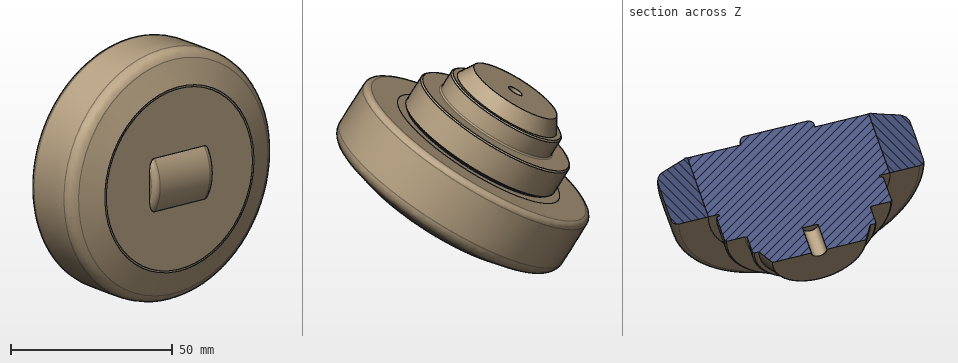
import cadquery as cq
import math


tip_length = 5.0
tip_base_radius = 18.0
tip_slope = 30.0
spigot_diameter = 40.0
flange_start = 11.6
flange_diameter = 54.1
flange_end = 21.5
edge_break = 0.5
neck_diameter = 52.0
center_hole_diameter = 4.9
center_hole_depth = 9.8

wheel_start = 22.0
wheel_end = 45.2
wheel_radius = 40.9
hub_diameter = 58.8
crown_position = 31.25
crown_arc_radius = 327.2
cone_end_radius = 30.0
cone_slope = 20.0
front_fillet = 2.0
shoulder_fillet = 4.2

roller_radius = 15.0
roller_width = 24.0
roller_fillet = 2.0
overall_length = 48.0


def crown_radius_at(x):
    """Radius of the crowned rim at position x."""
    offset = x - crown_position
    return wheel_radius - crown_arc_radius + math.sqrt(crown_arc_radius**2 - offset**2)


def revolve_about_x(profile):
    return profile.close().revolve(360, (0, 0, 0), (1, 0, 0))


def make_roller():
    axis_x = overall_length - roller_radius
    return (
        cq.Workplane("XZ")
        .center(axis_x, 0)
        .circle(roller_radius)
        .extrude(roller_width / 2, both=True)
        .edges()
        .fillet(roller_fillet)
    )


def make_pin():
    """Conical tip, spigot, flange, neck and hub, with the roller on the hub end."""
    tip_radius = tip_base_radius - tip_length * math.tan(math.radians(tip_slope))

    tip = revolve_about_x(
        cq.Workplane("XY")
        .lineTo(0, tip_radius)
        .lineTo(tip_length, tip_base_radius)
        .lineTo(tip_length, 0)
    )

    spigot = (
        cq.Workplane("YZ", origin=(tip_length, 0, 0))
        .circle(spigot_diameter / 2)
        .extrude(flange_start - tip_length)
        .faces("<X")
        .chamfer(edge_break)
    )
    flange = (
        cq.Workplane("YZ", origin=(flange_start, 0, 0))
        .circle(flange_diameter / 2)
        .extrude(flange_end - flange_start)
        .edges()
        .chamfer(edge_break)
    )
    shaft = spigot.union(flange)
    root_zone = cq.selectors.BoxSelector(
        (flange_start - edge_break / 2, -edge_break, -edge_break),
        (flange_start + edge_break / 2, edge_break, edge_break),
    )
    spigot_root = cq.selectors.RadiusNthSelector(0)
    shaft = shaft.edges(root_zone).edges(spigot_root).fillet(edge_break)

    neck = (
        cq.Workplane("YZ", origin=(flange_end, 0, 0))
        .circle(neck_diameter / 2)
        .extrude(wheel_start - flange_end)
    )
    hub = (
        cq.Workplane("YZ", origin=(wheel_start, 0, 0))
        .circle(hub_diameter / 2)
        .extrude(wheel_end - wheel_start)
    )
    center_hole = (
        cq.Workplane("YZ")
        .circle(center_hole_diameter / 2)
        .extrude(center_hole_depth)
    )
    return tip.union(shaft).union(neck).union(hub).union(make_roller()).cut(center_hole)


def make_wheel():
    """Crowned rim with a rounded front edge and a conical far side, bored for the hub."""
    cone_length = (wheel_radius - cone_end_radius) * math.tan(math.radians(cone_slope))
    shoulder = wheel_end - cone_length

    blank = revolve_about_x(
        cq.Workplane("XY")
        .moveTo(wheel_start, hub_diameter / 2)
        .lineTo(wheel_start, crown_radius_at(wheel_start))
        .threePointArc((crown_position, wheel_radius), (shoulder, crown_radius_at(shoulder)))
        .lineTo(wheel_end, cone_end_radius)
        .lineTo(wheel_end, hub_diameter / 2)
    )
    rounded = blank.faces("%CONE").edges("<X").fillet(shoulder_fillet)
    outermost = cq.selectors.RadiusNthSelector(-1)
    return rounded.faces("<X").edges(outermost).fillet(front_fillet)


pin = make_pin()
wheel = make_wheel()

result = cq.Compound.makeCompound([pin.solids().val(), wheel.solids().val()])